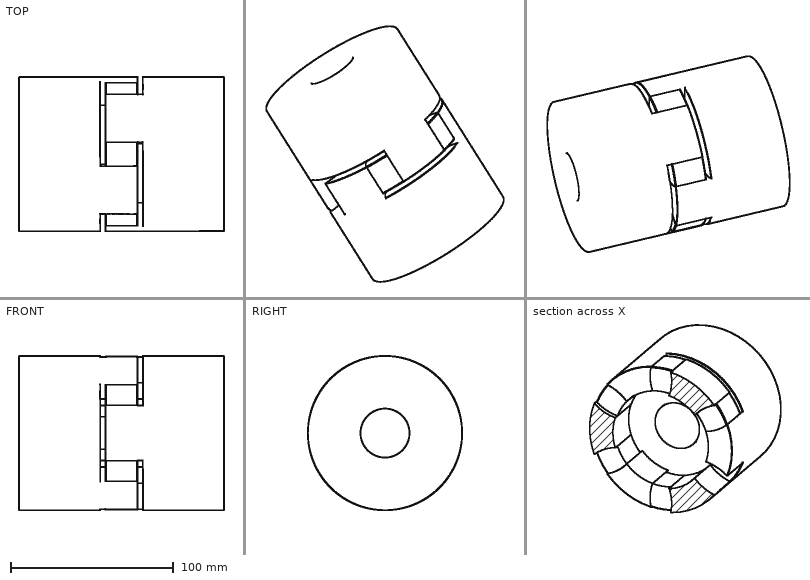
import cadquery as cq
import math


outer_radius = 47.5
bore_radius = 15.0
hub_length = 50.0
hub_spacing = 26.0
end_edge_radius = 0.5

jaw_count = 3
jaw_inner_radius = 31.5
jaw_inner_half_width = 10.05
jaw_outer_half_width = 17.2
flank_radius = 30.0
jaw_edge_radius = 0.3

cushion_length = 20.0
cushion_outer_radius = 47.2
cushion_edge_radius = 0.5
cushion_count = 5

hub_face_x = hub_spacing / 2
inner_end_x = -cushion_length / 2
jaw_length = hub_face_x - inner_end_x
jaw_pitch = 360 / jaw_count
cushion_pitch = jaw_pitch / 2
half_cushion_pitch = cushion_pitch / 2
first_cushion_angle = -2.5 * cushion_pitch


def flipped(point):
    """Mirror image of a (y, z) point across the Y axis."""
    return (point[0], -point[1])


def turned(point, angle):
    """A (y, z) point turned about the X axis by an angle in degrees."""
    c = math.cos(math.radians(angle))
    s = math.sin(math.radians(angle))
    return (point[0] * c - point[1] * s, point[0] * s + point[1] * c)


def turned_about_axis(body, angle):
    return body.rotate((0, 0, 0), (1, 0, 0), angle)


def disc(start_x, radius, length):
    return cq.Workplane("YZ", origin=(start_x, 0, 0)).circle(radius).extrude(length)


flank_inner = (-math.sqrt(jaw_inner_radius**2 - jaw_inner_half_width**2), jaw_inner_half_width)
flank_outer = (-math.sqrt(outer_radius**2 - jaw_outer_half_width**2), jaw_outer_half_width)
flank_chord = math.dist(flank_inner, flank_outer)
flank_sag = flank_radius - math.sqrt(flank_radius**2 - (flank_chord / 2) ** 2)
flank_middle = (
    (flank_inner[0] + flank_outer[0]) / 2 - (flank_outer[1] - flank_inner[1]) * flank_sag / flank_chord,
    (flank_inner[1] + flank_outer[1]) / 2 + (flank_outer[0] - flank_inner[0]) * flank_sag / flank_chord,
)
jaw_flank = [flank_inner, flank_middle, flank_outer]


def make_sector(flank, length):
    """Ring sector around -Y, bounded by a flank, its mirror image and the inner and outer radius."""
    inner, middle, outer = flank
    return (
        cq.Workplane("YZ", origin=(inner_end_x, 0, 0))
        .moveTo(*inner)
        .threePointArc(middle, outer)
        .threePointArc((-outer_radius, 0), flipped(outer))
        .threePointArc(flipped(middle), flipped(inner))
        .threePointArc((-jaw_inner_radius, 0), inner)
        .close()
        .extrude(length)
    )


def make_jaw():
    """Jaw whose root reaches behind the hub face far enough to fill the rounded rim there."""
    jaw = make_sector(jaw_flank, jaw_length + jaw_edge_radius)
    return jaw.faces("<Y").edges("not >X").fillet(jaw_edge_radius)


def make_hub():
    """Hub on the +X side, with one jaw pointing along -Y."""
    hub = disc(hub_face_x, outer_radius, hub_length)
    hub = hub.faces("<X").edges().fillet(jaw_edge_radius)
    hub = hub.cut(disc(hub_face_x, bore_radius, hub_length))
    hub = hub.faces(">X").edges().fillet(end_edge_radius)
    for i in range(jaw_count):
        hub = hub.union(turned_about_axis(make_jaw(), i * jaw_pitch))
    return hub


def make_cushion(angle):
    """Cushion that fits the flanks of the jaws on both sides of it."""
    cushion_flank = [flipped(turned(point, half_cushion_pitch)) for point in jaw_flank]
    cushion = make_sector(cushion_flank, cushion_length)
    cushion = cushion.intersect(disc(inner_end_x, cushion_outer_radius, cushion_length))
    cushion = cushion.faces("<Y").edges().fillet(cushion_edge_radius)
    return turned_about_axis(cushion, angle)


right_hub = make_hub()
left_hub = make_hub().rotate((0, 0, 0), (0, 0, 1), 180)
cushions = [make_cushion(first_cushion_angle + i * cushion_pitch) for i in range(cushion_count)]

result = cq.Compound.makeCompound(
    [
        right_hub.solids().val(),
        left_hub.solids().val(),
        *[cushion.solids().val() for cushion in cushions],
    ]
)